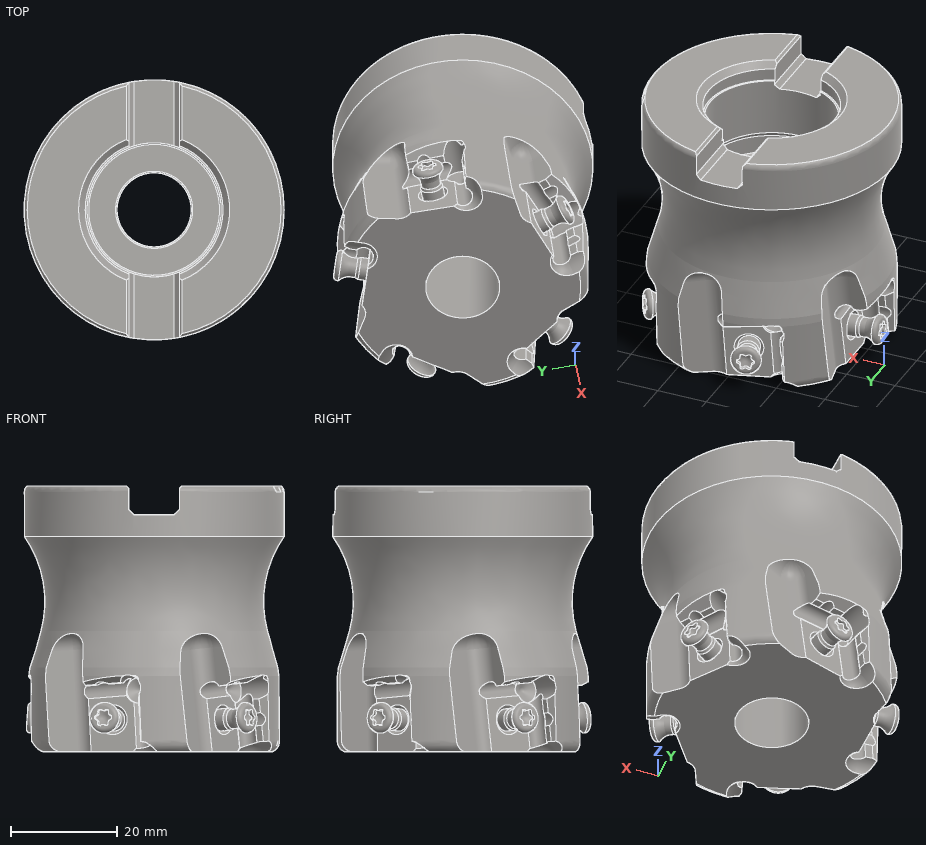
import cadquery as cq
import math

HEIGHT = 50.1
TOOTH_COUNT = 5
REACH = 20.05

RING_RADIUS = 24.5
RING_BOTTOM = 40.55
RING_EDGE_WIDTH = 0.6
RING_EDGE_HEIGHT = 1.2
WAIST_RADIUS = 20.65
WAIST_HEIGHT = 28.3
SHOULDER_TOP = 22.7
SHOULDER_RADIUS = 23.45
SHOULDER_BOTTOM = 15.85
TOOTH_RADIUS = 23.65
TOOTH_TOP = 14.25
TOOTH_EDGE_WIDTH = 1.45
TOOTH_EDGE_HEIGHT = 2.05

MOUTH_RADIUS = 13.0
MOUTH_CHAMFER = 1.25
MOUTH_BOTTOM = 46.45
BORE_RADIUS = 12.65
BORE_BOTTOM = 35.05
UNDERCUT_RADIUS = 13.0
UNDERCUT_TAPER_HEIGHT = 0.85
BORE_FLOOR = 30.05
FLOOR_RADIUS = 12.3
THROUGH_RADIUS = 6.95
THROUGH_CHAMFER = 0.3

SLOT_WIDTH = 9.45
SLOT_FLOOR = 44.7
SLOT_CORNER_CHAMFER = 0.95
SLOT_EDGE_CHAMFER = 0.5

SEAT_RADIUS = 17.85
SEAT_OFFSET = 2.35
SEAT_HEIGHT = 6.05
SEAT_LEAN = 4.4
SEAT_TILT = 4

POCKET_HALF = 6.5
POCKET_OPEN_SIDE = 7
FLARE_START = 4
FLARE_ANGLE = 24
RELIEF_RADIUS = 1.7
RELIEF_CENTER = 5.7
RELIEF_HEIGHT = 1
RELIEF_END = 5.55
DRILL_RADIUS = 2.4
DRILL_CENTER = 5.2
DRILL_RIM_DEPTH = 0.7
DRILL_TIP_DEPTH = 1.45
SCALLOP_RADIUS = 2.25
SCALLOP_CENTER = 4.6
SCALLOP_SHIFT = 0.65
SCALLOP_START = 2.2
NOSE_RADIUS = 3.5
NOSE_X = 6.1
NOSE_Y = -8.35
NOSE_LIFT = 1.5

GULLET_RADIUS = 2.95
GULLET_X = -6.75
GULLET_Z = 2.05
GULLET_BALL_Y = 13.75
GULLET_FLOOR_ANGLE = 168
GULLET_WALL_ANGLE = 90
GULLET_END_ROUND = 2.9

SHANK_RADIUS = 2.1
SHANK_DEPTH = 6
SHANK_TOP = 1.45
NECK_RADIUS = 1.85
NECK_BOTTOM = 2.05
NECK_TOP = 3.3
HEAD_RADIUS = 2.9
HEAD_FLARE_RADIUS = 2.2
HEAD_FLARE_TOP = 5.1
HEAD_RIM_TOP = 5.35
HEAD_FACE_RADIUS = 2.05
HEAD_TOP = 6.1
DOME_BULGE = 0.15
SINK_RADIUS = 2.8
LOBE_COUNT = 6
LOBE_RADIUS = 1.7
LOBE_CORNER_RADIUS = 1.55
LOBE_HALF_ANGLE = 13
VALLEY_RADIUS = 1.3
SOCKET_WALL_DEPTH = 0.6
SOCKET_TIP_DEPTH = 1.4


def polar(radius, degrees):
    angle = math.radians(degrees)
    return radius * math.cos(angle), radius * math.sin(angle)


def edge_round(width, height):
    """Middle point (inward, along the wall) of an arc that leaves a vertical wall tangentially."""
    radius = (width ** 2 + height ** 2) / (2 * width)
    half_angle = math.asin(height / radius) / 2
    return radius * (1 - math.cos(half_angle)), radius * math.sin(half_angle)


def waist_arc_radius():
    rise = RING_BOTTOM - WAIST_HEIGHT
    swell = RING_RADIUS - WAIST_RADIUS
    return (rise ** 2 + swell ** 2) / (2 * swell)


def housing_blank():
    ring_in, ring_along = edge_round(RING_EDGE_WIDTH, RING_EDGE_HEIGHT)
    tooth_in, tooth_along = edge_round(TOOTH_EDGE_WIDTH, TOOTH_EDGE_HEIGHT)
    waist_arc = waist_arc_radius()
    drop = WAIST_HEIGHT - SHOULDER_TOP
    cone_top_radius = WAIST_RADIUS + waist_arc - math.sqrt(waist_arc ** 2 - drop ** 2)
    return (
        cq.Workplane("XZ")
        .moveTo(0, 0)
        .lineTo(TOOTH_RADIUS - TOOTH_EDGE_WIDTH, 0)
        .threePointArc(
            (TOOTH_RADIUS - tooth_in, TOOTH_EDGE_HEIGHT - tooth_along),
            (TOOTH_RADIUS, TOOTH_EDGE_HEIGHT),
        )
        .lineTo(TOOTH_RADIUS, TOOTH_TOP)
        .lineTo(SHOULDER_RADIUS, SHOULDER_BOTTOM)
        .lineTo(cone_top_radius, SHOULDER_TOP)
        .threePointArc((WAIST_RADIUS, WAIST_HEIGHT), (RING_RADIUS, RING_BOTTOM))
        .lineTo(RING_RADIUS, HEIGHT - RING_EDGE_HEIGHT)
        .threePointArc(
            (RING_RADIUS - ring_in, HEIGHT - RING_EDGE_HEIGHT + ring_along),
            (RING_RADIUS - RING_EDGE_WIDTH, HEIGHT),
        )
        .lineTo(0, HEIGHT)
        .close()
        .revolve(360, (0, 0, 0), (0, 1, 0))
    )


def arbor_bore():
    floor_chamfer = UNDERCUT_RADIUS - FLOOR_RADIUS
    outline = [
        (0, 0),
        (THROUGH_RADIUS, 0),
        (THROUGH_RADIUS, BORE_FLOOR - THROUGH_CHAMFER),
        (THROUGH_RADIUS + THROUGH_CHAMFER, BORE_FLOOR),
        (FLOOR_RADIUS, BORE_FLOOR),
        (UNDERCUT_RADIUS, BORE_FLOOR + floor_chamfer),
        (UNDERCUT_RADIUS, BORE_BOTTOM - UNDERCUT_TAPER_HEIGHT),
        (BORE_RADIUS, BORE_BOTTOM),
        (BORE_RADIUS, MOUTH_BOTTOM),
        (MOUTH_RADIUS, MOUTH_BOTTOM),
        (MOUTH_RADIUS, HEIGHT - MOUTH_CHAMFER),
        (MOUTH_RADIUS + MOUTH_CHAMFER, HEIGHT),
        (0, HEIGHT),
    ]
    return cq.Workplane("XZ").polyline(outline).close().revolve(360, (0, 0, 0), (0, 1, 0))


def drive_slot():
    half = SLOT_WIDTH / 2
    right_side = [
        (half - SLOT_CORNER_CHAMFER, SLOT_FLOOR),
        (half, SLOT_FLOOR + SLOT_CORNER_CHAMFER),
        (half, HEIGHT - SLOT_EDGE_CHAMFER),
        (half + SLOT_EDGE_CHAMFER, HEIGHT),
    ]
    left_side = [(-x, z) for x, z in reversed(right_side)]
    return cq.Workplane("XZ").polyline(right_side + left_side).close().extrude(RING_RADIUS, both=True)


def gullet():
    floor_x, floor_z = polar(GULLET_RADIUS, GULLET_FLOOR_ANGLE + 90)
    wall_x, wall_z = polar(GULLET_RADIUS, GULLET_WALL_ANGLE - 90)
    middle_x, middle_z = polar(GULLET_RADIUS, (GULLET_FLOOR_ANGLE + GULLET_WALL_ANGLE) / 2 + 180)
    floor_run_x, floor_run_z = polar(REACH, GULLET_FLOOR_ANGLE)
    wall_run_x, wall_run_z = polar(REACH, GULLET_WALL_ANGLE)
    top = GULLET_BALL_Y + GULLET_RADIUS
    cutter = (
        cq.Workplane("XZ", origin=(GULLET_X, top, GULLET_Z))
        .moveTo(floor_x + floor_run_x, floor_z + floor_run_z)
        .lineTo(floor_x, floor_z)
        .threePointArc((middle_x, middle_z), (wall_x, wall_z))
        .lineTo(wall_x + wall_run_x, wall_z + wall_run_z)
        .close()
        .extrude(top + REACH)
    )
    return cutter.faces(">Y").edges().fillet(GULLET_END_ROUND)


def pocket_space():
    center_x = (POCKET_HALF - POCKET_OPEN_SIDE) / 2
    center_y = (POCKET_HALF - REACH) / 2
    width = POCKET_HALF + POCKET_OPEN_SIDE
    length = POCKET_HALF + REACH
    floor = cq.Workplane("XY").center(center_x, center_y).rect(width, length)
    flare = cq.Workplane("XY", origin=(center_x, center_y, FLARE_START)).rect(width, length)
    return floor.extrude(FLARE_START).union(flare.extrude(FLARE_START, taper=-FLARE_ANGLE))


def corner_reliefs():
    side = (
        cq.Workplane("XZ", origin=(RELIEF_CENTER, DRILL_CENTER, RELIEF_HEIGHT))
        .circle(RELIEF_RADIUS)
        .extrude(REACH)
    )
    top = (
        cq.Workplane("YZ", origin=(DRILL_CENTER, RELIEF_CENTER, RELIEF_HEIGHT))
        .circle(RELIEF_RADIUS)
        .extrude(-DRILL_CENTER - RELIEF_END)
    )
    return side.union(top)


def corner_drill():
    return (
        cq.Workplane("XZ", origin=(DRILL_CENTER, DRILL_CENTER, 0))
        .moveTo(0, -DRILL_RIM_DEPTH - DRILL_TIP_DEPTH)
        .lineTo(DRILL_RADIUS, -DRILL_RIM_DEPTH)
        .lineTo(DRILL_RADIUS, REACH)
        .lineTo(0, REACH)
        .close()
        .revolve(360, (0, 0, 0), (0, 1, 0))
    )


def wall_scallops():
    centers = [(SCALLOP_CENTER, -SCALLOP_SHIFT), (-SCALLOP_SHIFT, SCALLOP_CENTER)]
    return (
        cq.Workplane("XY", origin=(0, 0, SCALLOP_START))
        .pushPoints(centers)
        .circle(SCALLOP_RADIUS)
        .extrude(REACH)
    )


def nose_relief():
    start = cq.Workplane("XY", origin=(NOSE_X, NOSE_Y, NOSE_LIFT))
    return start.sphere(NOSE_RADIUS).union(start.circle(NOSE_RADIUS).extrude(REACH))


def screw_hole():
    sink_depth = SINK_RADIUS - SHANK_RADIUS
    outline = [
        (0, -SHANK_DEPTH),
        (SHANK_RADIUS, -SHANK_DEPTH),
        (SHANK_RADIUS, -sink_depth),
        (SINK_RADIUS, 0),
        (0, 0),
    ]
    return cq.Workplane("XZ").polyline(outline).close().revolve(360, (0, 0, 0), (0, 1, 0))


def screw_socket():
    valley_angle = 180 / LOBE_COUNT
    first_corner = polar(LOBE_CORNER_RADIUS, -LOBE_HALF_ANGLE)
    socket = cq.Workplane("XY", origin=(0, 0, HEAD_TOP)).moveTo(*first_corner)
    for lobe in range(LOBE_COUNT):
        angle = lobe * 2 * valley_angle
        next_lobe = angle + 2 * valley_angle
        socket = socket.threePointArc(
            polar(LOBE_RADIUS, angle), polar(LOBE_CORNER_RADIUS, angle + LOBE_HALF_ANGLE)
        ).threePointArc(
            polar(VALLEY_RADIUS, angle + valley_angle),
            polar(LOBE_CORNER_RADIUS, next_lobe - LOBE_HALF_ANGLE),
        )
    prism = socket.close().extrude(-SOCKET_TIP_DEPTH)
    conical_end = (
        cq.Workplane("XZ")
        .moveTo(0, HEAD_TOP - SOCKET_TIP_DEPTH)
        .lineTo(HEAD_FACE_RADIUS, HEAD_TOP - SOCKET_WALL_DEPTH)
        .lineTo(HEAD_FACE_RADIUS, HEAD_TOP)
        .lineTo(0, HEAD_TOP)
        .close()
        .revolve(360, (0, 0, 0), (0, 1, 0))
    )
    return prism.intersect(conical_end).rotate((0, 0, 0), (0, 0, 1), -SEAT_LEAN)


def screw_body():
    dome_middle = (
        (HEAD_RADIUS + HEAD_FACE_RADIUS) / 2 + DOME_BULGE,
        (HEAD_RIM_TOP + HEAD_TOP) / 2 + DOME_BULGE,
    )
    flare_middle = (HEAD_FLARE_RADIUS, (NECK_TOP + HEAD_FLARE_TOP) / 2)
    blank = (
        cq.Workplane("XZ")
        .moveTo(0, -SHANK_DEPTH)
        .lineTo(SHANK_RADIUS, -SHANK_DEPTH)
        .lineTo(SHANK_RADIUS, SHANK_TOP)
        .lineTo(NECK_RADIUS, NECK_BOTTOM)
        .lineTo(NECK_RADIUS, NECK_TOP)
        .threePointArc(flare_middle, (HEAD_RADIUS, HEAD_FLARE_TOP))
        .lineTo(HEAD_RADIUS, HEAD_RIM_TOP)
        .threePointArc(dome_middle, (HEAD_FACE_RADIUS, HEAD_TOP))
        .lineTo(0, HEAD_TOP)
        .close()
        .revolve(360, (0, 0, 0), (0, 1, 0))
    )
    return blank.cut(screw_socket())


def at_tooth(shape, number):
    """Move a shape from the seat frame to the given tooth; tooth 0 faces -X."""
    seat = cq.Plane(
        origin=(-SEAT_RADIUS, SEAT_OFFSET, SEAT_HEIGHT), xDir=(0, -1, 0), normal=(-1, 0, 0)
    ).rotated((-SEAT_TILT, 0, SEAT_LEAN))
    placed = shape.val().moved(cq.Location(seat))
    return placed.rotate(cq.Vector(0, 0, 0), cq.Vector(0, 0, 1), number * 360 / TOOTH_COUNT)


housing = housing_blank().cut(arbor_bore()).cut(drive_slot())
tooth_cutters = [
    gullet(),
    pocket_space(),
    corner_reliefs(),
    corner_drill(),
    wall_scallops(),
    nose_relief(),
    screw_hole(),
]
for tooth in range(TOOTH_COUNT):
    for cutter in tooth_cutters:
        housing = housing.cut(cq.Workplane(at_tooth(cutter, tooth)))

screw = screw_body()
screws = [at_tooth(screw, tooth) for tooth in range(TOOTH_COUNT)]

result = cq.Compound.makeCompound([housing.val(), *screws])